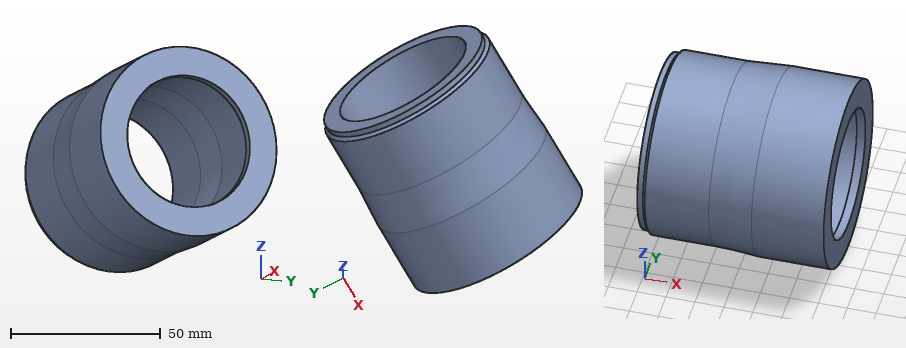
import cadquery as cq

TOTAL_LENGTH = 65.0
NOSE_LENGTH = 2.0
SHOULDER_LENGTH = 1.0
SMALL_LENGTH = 22.0
TAPER_LENGTH = 15.0

NOSE_DIAMETER = 60.53
SMALL_DIAMETER = 63.0
LARGE_DIAMETER = 64.8

SMALL_BORE_DIAMETER = 48.2
LARGE_BORE_DIAMETER = 50.0
LIP_BORE_DIAMETER = 45.07

SHOULDER_END = NOSE_LENGTH + SHOULDER_LENGTH
TAPER_START = SHOULDER_END + SMALL_LENGTH
TAPER_END = TAPER_START + TAPER_LENGTH

BORE_TAPER_START = TAPER_START - SHOULDER_END
BORE_TAPER_END = TAPER_END - SHOULDER_END
LIP_START = TOTAL_LENGTH - SHOULDER_END


def revolved_body(stations):
    """Solid of revolution about X through (axial position, diameter) pairs."""
    first_position = stations[0][0]
    last_position = stations[-1][0]
    profile = [(position, diameter / 2) for position, diameter in stations]
    outline = [(first_position, 0)] + profile + [(last_position, 0)]
    return cq.Workplane("XY").polyline(outline).close().revolve(360, (0, 0, 0), (1, 0, 0))


def outer_body():
    """Nose, shoulder cone, small cylinder, taper and large cylinder."""
    return revolved_body([
        (0, NOSE_DIAMETER),
        (NOSE_LENGTH, NOSE_DIAMETER),
        (SHOULDER_END, SMALL_DIAMETER),
        (TAPER_START, SMALL_DIAMETER),
        (TAPER_END, LARGE_DIAMETER),
        (TOTAL_LENGTH, LARGE_DIAMETER),
    ])


def stepped_bore():
    """Bore that widens through a taper and ends in a narrower lip."""
    return revolved_body([
        (0, SMALL_BORE_DIAMETER),
        (BORE_TAPER_START, SMALL_BORE_DIAMETER),
        (BORE_TAPER_END, LARGE_BORE_DIAMETER),
        (LIP_START, LARGE_BORE_DIAMETER),
        (LIP_START, LIP_BORE_DIAMETER),
        (TOTAL_LENGTH, LIP_BORE_DIAMETER),
    ])


result = outer_body().cut(stepped_bore())